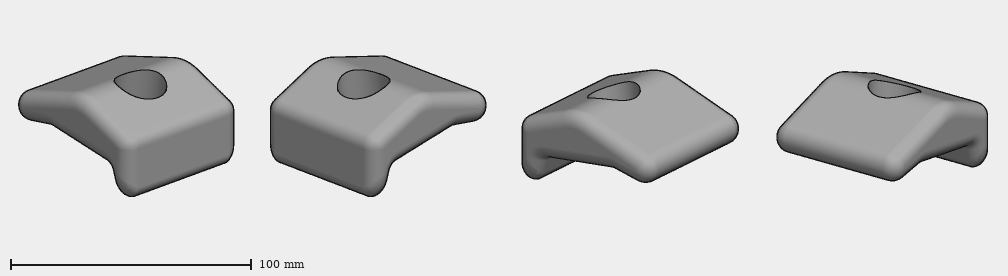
import cadquery as cq
import math

length = 71.0
width = 63.0
side_radius = 6.0

rear_slope = 16.9
front_slope = 21.6
lip_slope = 10.3
underside_slope = 8.2
leg_lean = 18.4

lip_radius = 6.5
lip_center = (lip_radius, 21.9)
leg_tip_radius = 5.05
leg_tip_center = (length - leg_tip_radius, leg_tip_radius)
crown_x = 40.8
crown_radius = 20.0
shoulder_radius = side_radius
knee_x = 21.1
knee_radius = 6.0
leg_bend_radius = 3.4

hole_diameter = 22.0
seat_diameter = 31.2
cutter_height = 42.6
seat_depth = 5.0
seat_flat_offset = 15.05
hole_axis_x = 41.25


def tangent(angle):
    return math.tan(math.radians(angle))


def polar(center, radius, angle):
    """Point on a circle, with the angle measured from +X toward +Z."""
    a = math.radians(angle)
    return (center[0] + radius * math.cos(a), center[1] + radius * math.sin(a))


lip_top = polar(lip_center, lip_radius, 90 + rear_slope)
lip_end = polar(lip_center, lip_radius, 180)
lip_bottom = polar(lip_center, lip_radius, lip_slope - 90)
leg_inner = polar(leg_tip_center, leg_tip_radius, 180 + leg_lean)
leg_bottom = polar(leg_tip_center, leg_tip_radius, 270)
leg_outer = polar(leg_tip_center, leg_tip_radius, 0)

crown = (crown_x, lip_top[1] + (crown_x - lip_top[0]) * tangent(rear_slope))
shoulder = (length, crown[1] - (length - crown_x) * tangent(front_slope))
knee = (knee_x, lip_bottom[1] + (knee_x - lip_bottom[0]) * tangent(lip_slope))


def underside_z(x):
    return knee[1] - (x - knee_x) * tangent(underside_slope)


def leg_inner_x(z):
    return leg_inner[0] - (z - leg_inner[1]) * tangent(leg_lean)


bend_x = leg_inner_x(underside_z(0)) / (1 - tangent(underside_slope) * tangent(leg_lean))
leg_bend = (bend_x, underside_z(bend_x))


def round_corner(body, corner, radius):
    """Rounds the edge along Y that passes through a profile corner."""
    reach = 0.1
    box = cq.selectors.BoxSelector(
        (corner[0] - reach, -width, corner[1] - reach),
        (corner[0] + reach, width, corner[1] + reach),
    )
    return body.edges(box).fillet(radius)


def profile_body():
    outline = (
        cq.Workplane("XZ")
        .moveTo(*lip_top)
        .lineTo(*crown)
        .lineTo(*shoulder)
        .lineTo(*leg_outer)
        .threePointArc(leg_bottom, leg_inner)
        .lineTo(*leg_bend)
        .lineTo(*knee)
        .lineTo(*lip_bottom)
        .threePointArc(lip_end, lip_top)
        .close()
    )
    body = outline.extrude(width / 2, both=True)
    rounded_corners = (
        (crown, crown_radius),
        (shoulder, shoulder_radius),
        (knee, knee_radius),
        (leg_bend, leg_bend_radius),
    )
    for corner, radius in rounded_corners:
        body = round_corner(body, corner, radius)
    return body


def bolt_hole():
    """Hole and flat-sided seat, built upright and tilted square to the underside."""
    hole = cq.Workplane("XY").circle(hole_diameter / 2).extrude(cutter_height)
    seat = cq.Workplane("XY").circle(seat_diameter / 2).extrude(seat_depth, both=True)
    clip = cq.Workplane("XY").box(length, width, cutter_height)
    clip = clip.translate((seat_flat_offset - length / 2, 0, 0))
    cutter = hole.union(seat.intersect(clip))
    cutter = cutter.rotate((0, 0, 0), (0, 1, 0), underside_slope)
    return cutter.translate((hole_axis_x, 0, underside_z(hole_axis_x)))


body = profile_body()
body = body.faces("<Y or >Y").edges().fillet(side_radius)
result = body.cut(bolt_hole())